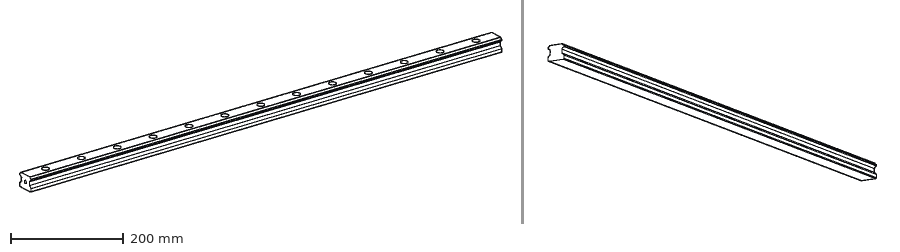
import math

import cadquery as cq

rail_width = 34.0
rail_length = 1050.0
rail_height = 29.0
half_width = rail_width / 2

base_chamfer = 1.5
foot_top = 7.5
waist_half_width = 12.5
waist_bottom = foot_top + half_width - waist_half_width

waist_bend_height = 15.0
neck_half_width = 12.25
neck_height = 19.0

flank_bottom = 23.0
flank_top = 25.5
groove_sagitta = 0.75
crown_half_width = 13.25
crown_chamfer = 0.5

hole_count = 13
hole_pitch = 80.0
recess_diameter = 14.0
recess_depth = 0.5

end_hole_diameter = 6.0
end_hole_depth = 15.0
end_hole_height = rail_height / 2


def groove_bottom(lower, upper):
    """Middle point of the concave arc joining two points on the +X side."""
    run = upper[0] - lower[0]
    rise = upper[1] - lower[1]
    chord = math.hypot(run, rise)
    middle_x = (lower[0] + upper[0]) / 2 - groove_sagitta * rise / chord
    middle_z = (lower[1] + upper[1]) / 2 + groove_sagitta * run / chord
    return middle_x, middle_z


def half_rail():
    """The +X half of the rail, extruded along Y."""
    neck = (neck_half_width, neck_height)
    lower_edge = (half_width, flank_bottom)
    upper_edge = (half_width, flank_top)
    crown_corner = (crown_half_width + crown_chamfer, rail_height - crown_chamfer)

    section = (
        cq.Workplane("XZ")
        .moveTo(0, 0)
        .lineTo(half_width - base_chamfer, 0)
        .lineTo(half_width, base_chamfer)
        .lineTo(half_width, foot_top)
        .lineTo(waist_half_width, waist_bottom)
        .lineTo(waist_half_width, waist_bend_height)
        .lineTo(*neck)
        .threePointArc(groove_bottom(neck, lower_edge), lower_edge)
        .lineTo(*upper_edge)
        .threePointArc(groove_bottom(upper_edge, crown_corner), crown_corner)
        .lineTo(crown_half_width, rail_height)
        .lineTo(0, rail_height)
        .close()
    )
    return section.extrude(rail_length / 2, both=True)


def rail_body():
    """Full rail, symmetric about the YZ plane."""
    half = half_rail()
    return half.union(half.mirror("YZ")).clean()


def mounting_recesses():
    """Row of shallow round recesses sunk into the top face."""
    top = cq.Workplane("XY", origin=(0, 0, rail_height))
    row = top.rarray(1, hole_pitch, 1, hole_count)
    return row.circle(recess_diameter / 2).extrude(-recess_depth)


def end_hole():
    """Blind hole running along Y from the -Y end face."""
    end_face = cq.Workplane("XZ", origin=(0, -rail_length / 2, end_hole_height))
    return end_face.circle(end_hole_diameter / 2).extrude(-end_hole_depth)


result = rail_body().cut(mounting_recesses()).cut(end_hole())